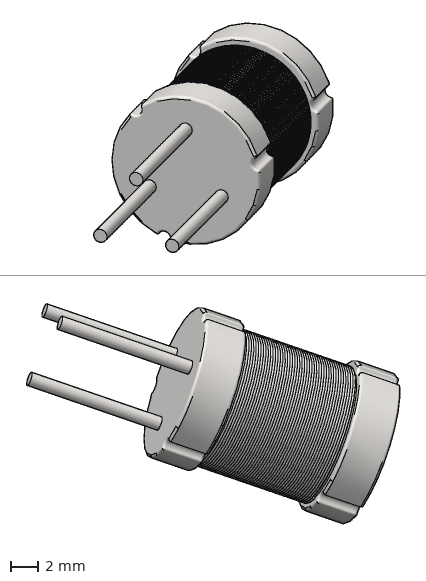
import cadquery as cq
import math

FLANGE_RADIUS = 5.87
FLANGE_WIDTH = 3.24
BODY_LENGTH = 15.65
PIN_LENGTH = 10.45
EDGE_FILLET = 0.2

NOTCH_COUNT = 3
NOTCH_RADIUS = 0.5
NOTCH_START_ANGLE = 12.8
NOTCH_CORNER_FILLET = 0.15

PIN_COUNT = 3
PIN_RADIUS = 0.525
PIN_CIRCLE_RADIUS = 3.27
PIN_START_ANGLE = 90.0

COIL_OUTER_RADIUS = 5.34
GROOVE_DEPTH = 0.07
TURN_COUNT = 46
END_CLEARANCE = 0.01
WINDING_START_ANGLE = 120.0
WINDING_TUBE_RADIUS = 4.5
CORE_RADIUS = 5.15

WINDING_LENGTH = BODY_LENGTH - 2 * FLANGE_WIDTH
WIRE_PITCH = (WINDING_LENGTH - 2 * END_CLEARANCE) / (TURN_COUNT + 1)
GROOVE_RADIUS = COIL_OUTER_RADIUS - GROOVE_DEPTH


def polar_points(count, radius, start_angle):
    """Points evenly spaced on a circle about the bobbin axis."""
    points = []
    for index in range(count):
        angle = math.radians(start_angle + index * 360 / count)
        points.append((radius * math.cos(angle), radius * math.sin(angle)))
    return points


def facing_pins(y_start):
    """XZ workplane at y_start whose normal follows the pins toward -Y."""
    plane = cq.Plane(origin=(0, y_start, 0), xDir=(1, 0, 0), normal=(0, -1, 0))
    return cq.Workplane(plane)


def make_flange(y_start):
    """Round flange with notched rim and all edges rounded."""
    notches = (
        facing_pins(y_start)
        .pushPoints(polar_points(NOTCH_COUNT, FLANGE_RADIUS, NOTCH_START_ANGLE))
        .circle(NOTCH_RADIUS)
        .extrude(-FLANGE_WIDTH)
    )
    flange = facing_pins(y_start).circle(FLANGE_RADIUS).extrude(-FLANGE_WIDTH).cut(notches)
    seam = cq.selectors.BoxSelector(
        (FLANGE_RADIUS - EDGE_FILLET, y_start, -EDGE_FILLET),
        (FLANGE_RADIUS + EDGE_FILLET, y_start + FLANGE_WIDTH, EDGE_FILLET),
    )
    lengthwise = cq.selectors.ParallelDirSelector(cq.Vector(0, 1, 0))
    notch_corners = cq.selectors.SubtractSelector(lengthwise, seam)
    flange = flange.edges(notch_corners).fillet(NOTCH_CORNER_FILLET)
    return flange.faces("<Y or >Y").edges().fillet(EDGE_FILLET)


def make_core():
    return facing_pins(FLANGE_WIDTH).circle(CORE_RADIUS).extrude(-WINDING_LENGTH)


def make_turn():
    """One turn of a tube wall about Z, with the wire's rounded outside."""
    path = cq.Wire.makeHelix(WIRE_PITCH, WIRE_PITCH, GROOVE_RADIUS, lefthand=True)
    half_pitch = WIRE_PITCH / 2
    section = (
        cq.Workplane("XZ")
        .moveTo(WINDING_TUBE_RADIUS, -half_pitch)
        .lineTo(GROOVE_RADIUS, -half_pitch)
        .threePointArc((COIL_OUTER_RADIUS, 0), (GROOVE_RADIUS, half_pitch))
        .lineTo(WINDING_TUBE_RADIUS, half_pitch)
        .close()
    )
    return section.sweep(cq.Workplane(path), isFrenet=True)


def make_winding():
    """Sew the outer skins of the stacked turns into one helical tube along Y."""
    turn = make_turn()
    end_planes = turn.faces("%PLANE").sort(lambda face: face.Center().z).vals()
    curved_faces = turn.faces("not %PLANE").sort(lambda face: face.Center().z).vals()
    bottom_flank, *skins, top_flank = curved_faces

    top_turn_shift = cq.Vector(0, 0, (TURN_COUNT - 1) * WIRE_PITCH)
    faces = [bottom_flank, end_planes[0]]
    faces += [top_flank.translate(top_turn_shift), end_planes[-1].translate(top_turn_shift)]
    for index in range(TURN_COUNT):
        shift = cq.Vector(0, 0, index * WIRE_PITCH)
        faces += [skin.translate(shift) for skin in skins]

    tube = cq.Solid.makeSolid(cq.Shell.makeShell(faces))
    y_start = FLANGE_WIDTH + END_CLEARANCE + WIRE_PITCH / 2
    return (
        cq.Workplane(tube)
        .rotate((0, 0, 0), (0, 0, 1), WINDING_START_ANGLE)
        .rotate((0, 0, 0), (1, 0, 0), -90)
        .translate((0, y_start, 0))
    )


def make_pins():
    return (
        facing_pins(0)
        .pushPoints(polar_points(PIN_COUNT, PIN_CIRCLE_RADIUS, PIN_START_ANGLE))
        .circle(PIN_RADIUS)
        .extrude(PIN_LENGTH)
    )


winding = make_core().union(make_winding())
near_flange = make_flange(0).union(make_pins())
far_flange = make_flange(BODY_LENGTH - FLANGE_WIDTH)
result = near_flange.union(winding).union(far_flange)